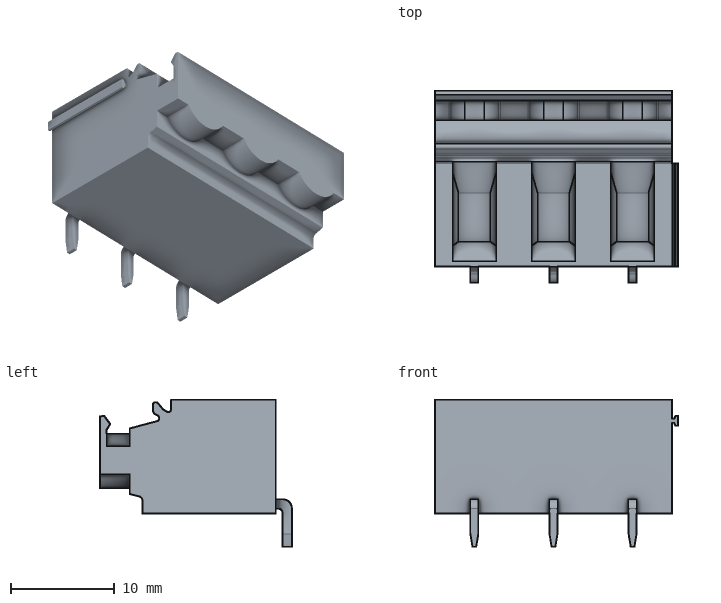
import cadquery as cq
import math


POLES = 3
PITCH = 7.62
WIDTH = POLES * PITCH
POLE_CENTRES = [(i + 0.5) * PITCH for i in range(POLES)]

HEIGHT = 10.98
DEPTH = 16.95
TOP_DEPTH = 10.13
TOP_ROUND = 0.15
BASE_DEPTH = 12.88
STEP_HEIGHT = 1.88
SHOULDER_Y = 14.1
SHOULDER_Z = 8.2
BASE_ROUND = 0.42
SLOPE = math.tan(math.radians(15))

VALLEY_RADIUS = 0.23
VALLEY_CENTRE_Z = 10.02
VALLEY_SLOPE_ANGLE = math.radians(30)
TONGUE_TIP_RADIUS = 0.28
TONGUE_TIP_Y = 11.6
TONGUE_TIP_Z = 10.46
TONGUE_FLANK_ANGLE = math.radians(50)
TONGUE_BEND_START_Y = 10.75
TONGUE_BEND_END_Y = 10.9
TONGUE_STRAIGHT_END_Z = 9.88
TONGUE_HEEL_MIDDLE = (11.73, 9.65)
TONGUE_HEEL_END = (11.55, 9.5)
UNDERCUT_START = (11.43, 9.45)
UNDERCUT_MIDDLE = (11.25, 9.2)
UNDERCUT_END_Y = 11.4

LEDGE_BOTTOM = 3.78
LEDGE_FLOOR = 6.5
LIP_INNER_Y = 16.33
LIP_HOOK_START_Z = 8.05
LIP_HOOK_LOWER = (16.02, 8.55)
LIP_HOOK_NOSE = (15.98, 8.6)
LIP_HOOK_UPPER = (16.02, 8.7)
LIP_CREST = (16.56, 9.43)
LIP_OUTER_Z = 9.35

BARREL_RADIUS = 2.72
BARREL_CENTRE_Z = 5.14
BARREL_TOP = 7.7
BARREL_FILLET = 0.23

POCKET_WIDTH = 4.2
POCKET_FRONT = 0.52
POCKET_FLOOR_FRONT = 2.42
POCKET_FLOOR_REAR = 7.13
POCKET_FLOOR_WIDTH = 3.07
POCKET_DEPTH = POCKET_FLOOR_FRONT - POCKET_FRONT
POCKET_REAR_Z = 9.7
POCKET_SIDE_DEPTH = 1.5

RAIL_LENGTH = 9.97
RAIL_Z = 8.94
RAIL_REACH = 0.59
RAIL_NECK_LENGTH = 0.19
RAIL_NECK_THICKNESS = 0.42
RAIL_HEAD_CHAMFER = 0.15
RAIL_HEAD_HEIGHT = 0.99

PIN_WIDTH = 0.8
PIN_THICKNESS = 0.95
PIN_REACH = 1.55
PIN_TOP = 1.38
PIN_BOTTOM = -3.21
PIN_OUTER_BEND = 0.9
PIN_INNER_BEND = 0.33
PIN_TAPER_START = -1.95
PIN_TIP_WIDTH = 0.38


def arc_point(centre_y, centre_z, radius, angle):
    """Point on a circle in the side profile, with the angle taken from +Y towards +Z."""
    return (centre_y + radius * math.cos(angle), centre_z + radius * math.sin(angle))


def make_shell():
    """Side profile, with latch tongue and hooked lip, extruded along the row."""
    undercut_end_z = SHOULDER_Z + (SHOULDER_Y - UNDERCUT_END_Y) * SLOPE
    base_round_z = STEP_HEIGHT - (SHOULDER_Y - BASE_DEPTH - BASE_ROUND) * SLOPE

    valley_y = TOP_DEPTH + VALLEY_RADIUS
    valley_bottom = (valley_y, VALLEY_CENTRE_Z - VALLEY_RADIUS)
    valley_end = arc_point(
        valley_y, VALLEY_CENTRE_Z, VALLEY_RADIUS, VALLEY_SLOPE_ANGLE - math.pi / 2
    )
    tip_start = arc_point(
        TONGUE_TIP_Y, TONGUE_TIP_Z, TONGUE_TIP_RADIUS, TONGUE_FLANK_ANGLE + math.pi / 2
    )
    tip_top = (TONGUE_TIP_Y, TONGUE_TIP_Z + TONGUE_TIP_RADIUS)
    tongue_rear_y = TONGUE_TIP_Y + TONGUE_TIP_RADIUS
    bend_start_z = valley_end[1] + (TONGUE_BEND_START_Y - valley_end[0]) * math.tan(VALLEY_SLOPE_ANGLE)
    bend_end_z = tip_start[1] - (tip_start[0] - TONGUE_BEND_END_Y) * math.tan(TONGUE_FLANK_ANGLE)

    profile = (
        cq.Workplane("YZ")
        .moveTo(0, 0)
        .lineTo(0, HEIGHT)
        .lineTo(TOP_DEPTH - TOP_ROUND, HEIGHT)
        .radiusArc((TOP_DEPTH, HEIGHT - TOP_ROUND), TOP_ROUND)
        .lineTo(TOP_DEPTH, VALLEY_CENTRE_Z)
        .threePointArc(valley_bottom, valley_end)
        .lineTo(TONGUE_BEND_START_Y, bend_start_z)
        .tangentArcPoint((TONGUE_BEND_END_Y, bend_end_z), relative=False)
        .lineTo(*tip_start)
        .threePointArc(tip_top, (tongue_rear_y, TONGUE_TIP_Z))
        .lineTo(tongue_rear_y, TONGUE_STRAIGHT_END_Z)
        .threePointArc(TONGUE_HEEL_MIDDLE, TONGUE_HEEL_END)
        .lineTo(*UNDERCUT_START)
        .threePointArc(UNDERCUT_MIDDLE, (UNDERCUT_END_Y, undercut_end_z))
        .lineTo(SHOULDER_Y, SHOULDER_Z)
        .lineTo(SHOULDER_Y, LEDGE_FLOOR)
        .lineTo(LIP_INNER_Y, LEDGE_FLOOR)
        .lineTo(LIP_INNER_Y, LIP_HOOK_START_Z)
        .lineTo(*LIP_HOOK_LOWER)
        .threePointArc(LIP_HOOK_NOSE, LIP_HOOK_UPPER)
        .lineTo(*LIP_CREST)
        .lineTo(DEPTH, LIP_OUTER_Z)
        .lineTo(DEPTH, LEDGE_BOTTOM)
        .lineTo(SHOULDER_Y, LEDGE_BOTTOM)
        .lineTo(SHOULDER_Y, STEP_HEIGHT)
        .lineTo(BASE_DEPTH + BASE_ROUND, base_round_z)
        .radiusArc((BASE_DEPTH, base_round_z - BASE_ROUND), -BASE_ROUND)
        .lineTo(BASE_DEPTH, 0)
        .close()
    )
    return profile.extrude(WIDTH)


def make_barrel(x_centre):
    """Wire barrel with a flat top, filleted into the ledge floor on both sides."""
    cylinder = (
        cq.Workplane("XZ", origin=(x_centre, SHOULDER_Y, BARREL_CENTRE_Z))
        .circle(BARREL_RADIUS)
        .extrude(SHOULDER_Y - DEPTH)
    )
    below_flat = (
        cq.Workplane("XY", origin=(x_centre, SHOULDER_Y, BARREL_TOP))
        .rect(2 * BARREL_RADIUS, 2 * DEPTH)
        .extrude(-2 * BARREL_RADIUS)
    )

    centre_rise = LEDGE_FLOOR + BARREL_FILLET - BARREL_CENTRE_Z
    centre_distance = BARREL_RADIUS + BARREL_FILLET
    floor_x = math.sqrt(centre_distance ** 2 - centre_rise ** 2)
    barrel_x = floor_x * BARREL_RADIUS / centre_distance
    barrel_z = BARREL_CENTRE_Z + centre_rise * BARREL_RADIUS / centre_distance
    foot = (
        cq.Workplane("XZ", origin=(x_centre, SHOULDER_Y, 0))
        .moveTo(-floor_x, LEDGE_FLOOR)
        .radiusArc((-barrel_x, barrel_z), -BARREL_FILLET)
        .lineTo(barrel_x, barrel_z)
        .radiusArc((floor_x, LEDGE_FLOOR), -BARREL_FILLET)
        .close()
        .extrude(SHOULDER_Y - LIP_INNER_Y)
    )
    return cylinder.intersect(below_flat).union(foot)


def make_pocket(x_centre):
    """Funnel cutter: sloped front, rear and side walls around a flat floor, open to the rear."""
    floor_z = HEIGHT - POCKET_DEPTH
    half_width = POCKET_WIDTH / 2
    half_floor = POCKET_FLOOR_WIDTH / 2
    side_z = HEIGHT - POCKET_SIDE_DEPTH
    lengthwise = (
        cq.Workplane("YZ", origin=(x_centre - half_width, 0, 0))
        .polyline([
            (POCKET_FRONT, HEIGHT),
            (POCKET_FLOOR_FRONT, floor_z),
            (POCKET_FLOOR_REAR, floor_z),
            (TOP_DEPTH, POCKET_REAR_Z),
            (TOP_DEPTH, HEIGHT),
        ])
        .close()
        .extrude(POCKET_WIDTH)
    )
    crosswise = (
        cq.Workplane("XZ", origin=(x_centre, 0, 0))
        .polyline([
            (-half_width, HEIGHT),
            (-half_width, side_z),
            (-half_floor, floor_z),
            (half_floor, floor_z),
            (half_width, side_z),
            (half_width, HEIGHT),
        ])
        .close()
        .extrude(-TOP_DEPTH)
    )
    return lengthwise.intersect(crosswise)


def make_rail():
    """T-shaped coupling rail on the +X end face."""
    half_neck = RAIL_NECK_THICKNESS / 2
    half_head = RAIL_HEAD_HEIGHT / 2
    head_start = RAIL_NECK_LENGTH + RAIL_HEAD_CHAMFER
    return (
        cq.Workplane("XZ", origin=(WIDTH, 0, RAIL_Z))
        .polyline([
            (0, -half_neck),
            (RAIL_NECK_LENGTH, -half_neck),
            (head_start, -half_head),
            (RAIL_REACH, -half_head),
            (RAIL_REACH, half_head),
            (head_start, half_head),
            (RAIL_NECK_LENGTH, half_neck),
            (0, half_neck),
        ])
        .close()
        .extrude(-RAIL_LENGTH)
    )


def make_housing():
    """Shell with its rail, and a barrel and a pocket for each pole."""
    body = make_shell().union(make_rail())
    for x_centre in POLE_CENTRES:
        body = body.union(make_barrel(x_centre))
        body = body.cut(make_pocket(x_centre))
    return body


def make_pin(x_centre):
    """Pin that leaves the front face, bends down and tapers to its tip."""
    inner_y = PIN_THICKNESS - PIN_REACH
    inner_z = PIN_TOP - PIN_THICKNESS
    half_width = PIN_WIDTH / 2
    half_tip = PIN_TIP_WIDTH / 2
    bent_strip = (
        cq.Workplane("YZ", origin=(x_centre - half_width, 0, 0))
        .moveTo(0, PIN_TOP)
        .lineTo(PIN_OUTER_BEND - PIN_REACH, PIN_TOP)
        .radiusArc((-PIN_REACH, PIN_TOP - PIN_OUTER_BEND), -PIN_OUTER_BEND)
        .lineTo(-PIN_REACH, PIN_BOTTOM)
        .lineTo(inner_y, PIN_BOTTOM)
        .lineTo(inner_y, inner_z - PIN_INNER_BEND)
        .radiusArc((inner_y + PIN_INNER_BEND, inner_z), PIN_INNER_BEND)
        .lineTo(0, inner_z)
        .close()
        .extrude(PIN_WIDTH)
    )
    tapered_outline = (
        cq.Workplane("XZ", origin=(x_centre, 0, 0))
        .polyline([
            (-half_width, PIN_TOP),
            (-half_width, PIN_TAPER_START),
            (-half_tip, PIN_BOTTOM),
            (half_tip, PIN_BOTTOM),
            (half_width, PIN_TAPER_START),
            (half_width, PIN_TOP),
        ])
        .close()
        .extrude(PIN_REACH)
    )
    return bent_strip.intersect(tapered_outline)


housing = make_housing()
pins = [make_pin(x_centre) for x_centre in POLE_CENTRES]

result = cq.Compound.makeCompound([housing.val(), *[pin.val() for pin in pins]])